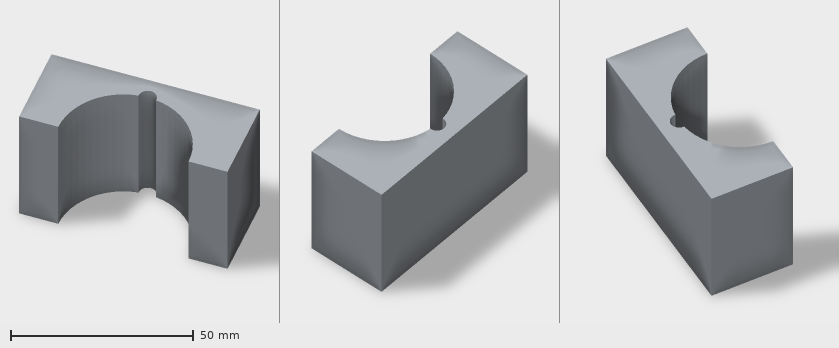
import cadquery as cq

length = 60.95
depth = 25.4
height = 38.1

bore_diameter = 38.1
bore_radius = bore_diameter / 2

groove_diameter = 5.1
groove_center_y = bore_radius


def upright_cylinder(diameter, center_y):
    """Full-height cylinder on the middle plane of the block."""
    return cq.Workplane("XY").center(0, center_y).circle(diameter / 2).extrude(height)


block = cq.Workplane("XY").box(length, depth, height, centered=(True, False, False))

saddle = upright_cylinder(bore_diameter, 0)
groove = upright_cylinder(groove_diameter, groove_center_y)

result = block.cut(saddle).cut(groove)